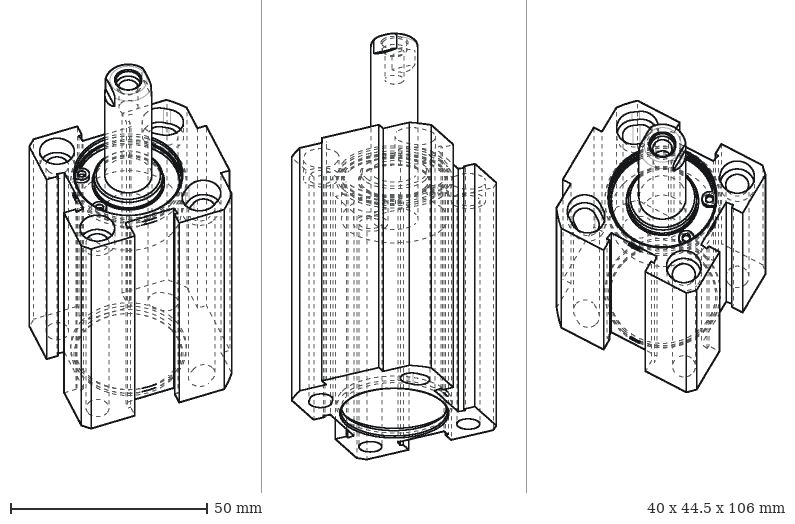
import cadquery as cq
import math

TOTAL_HEIGHT = 106.0
HOUSING_HEIGHT = 69.4
HALF_WIDTH = 40.0 / 2
DEPTH = 44.5
BACK_Y = DEPTH - HALF_WIDTH

SHOULDER_Y = 22.2
PAD_HALF_WIDTH = 8.2
CORNER_RADIUS = 27.1
FRONT_CHAMFER = 1.9

GROOVE_LIP_HALF = 6.0
GROOVE_LIP_DEPTH = 3.2
GROOVE_INNER_HALF = 6.9
GROOVE_FLOOR_HALF = 6.6
GROOVE_FLOOR_DEPTH = 5.1

HOLE_OFFSET = 14.0
HOLE_DIA = 5.8
COUNTERBORE_DIA = 8.8
COUNTERBORE_DEPTH = 5.5
SLOT_SHIFT_X = 1.1
SLOT_SHIFT_Y = 1.5

MOUTH_DIA = 27.0
MOUTH_CHAMFER_DIA = 27.8
RING_DIA = 29.5
RING_INNER_DIA = 26.1
RING_TOP_DEPTH = 1.9
RING_THICKNESS = 1.3
COVER_DEPTH = RING_TOP_DEPTH + RING_THICKNESS
LUG_CIRCLE_RADIUS = 12.0
LUG_ANGLE = 30.5
LUG_RADIUS = 1.9
LUG_HOLE_DIA = 2.0

COVER_THICKNESS = 10.6
COLLAR_DIA = 17.5
COLLAR_TOP_DEPTH = 0.2
COLLAR_CHAMFER = 0.5
FOOT_DIA = 18.4
FOOT_HEIGHT = 0.3

ROD_DIA = 12.0
ROD_FILLET = 1.3
FLAT_HALF_WIDTH = 10.0 / 2
FLAT_LENGTH = 4.7
ROD_HOLE_DIA = 4.9
ROD_HOLE_DEPTH = 10.6
ROD_MOUTH_DIA = 6.3
ROD_MOUTH_DEPTH = 2.1
ROD_MOUTH_CHAMFER = 0.3
DRILL_HALF_ANGLE = 59.0

COVER_TOP_Z = HOUSING_HEIGHT - COVER_DEPTH
COVER_BOTTOM_Z = COVER_TOP_Z - COVER_THICKNESS
GROOVE_TURNS = (0, 90, -90)


def cylinder(diameter, bottom, height):
    return cq.Workplane("XY", origin=(0, 0, bottom)).circle(diameter / 2).extrude(height)


def housing_blank():
    corner_x = math.sqrt(CORNER_RADIUS**2 - SHOULDER_Y**2)
    corner_y = math.sqrt(CORNER_RADIUS**2 - HALF_WIDTH**2)
    middle_angle = (math.atan2(corner_y, HALF_WIDTH) + math.atan2(SHOULDER_Y, corner_x)) / 2
    middle_x = CORNER_RADIUS * math.cos(middle_angle)
    middle_y = CORNER_RADIUS * math.sin(middle_angle)
    chamfer_end = HALF_WIDTH - FRONT_CHAMFER
    return (
        cq.Workplane("XY")
        .moveTo(0, -HALF_WIDTH)
        .lineTo(chamfer_end, -HALF_WIDTH)
        .lineTo(HALF_WIDTH, -chamfer_end)
        .lineTo(HALF_WIDTH, corner_y)
        .threePointArc((middle_x, middle_y), (corner_x, SHOULDER_Y))
        .lineTo(PAD_HALF_WIDTH, SHOULDER_Y)
        .lineTo(PAD_HALF_WIDTH, BACK_Y)
        .lineTo(0, BACK_Y)
        .mirrorY()
        .extrude(HOUSING_HEIGHT)
    )


def sensor_groove(turn):
    lip_y = GROOVE_LIP_DEPTH - HALF_WIDTH
    floor_y = GROOVE_FLOOR_DEPTH - HALF_WIDTH
    return (
        cq.Workplane("XY")
        .moveTo(0, -HALF_WIDTH)
        .lineTo(GROOVE_LIP_HALF, -HALF_WIDTH)
        .lineTo(GROOVE_LIP_HALF, lip_y)
        .lineTo(GROOVE_INNER_HALF, lip_y)
        .lineTo(GROOVE_FLOOR_HALF, floor_y)
        .lineTo(0, floor_y)
        .mirrorY()
        .extrude(HOUSING_HEIGHT)
        .rotate((0, 0, 0), (0, 0, 1), turn)
    )


def slot(side, diameter, bottom):
    """Rear mounting slot: its two round ends sit at the hole centre and at the shifted centre."""
    length = math.hypot(SLOT_SHIFT_X, SLOT_SHIFT_Y) + diameter
    angle = math.degrees(math.atan2(SLOT_SHIFT_Y, -side * SLOT_SHIFT_X))
    centre_x = side * (HOLE_OFFSET - SLOT_SHIFT_X / 2)
    centre_y = HOLE_OFFSET + SLOT_SHIFT_Y / 2
    return (
        cq.Workplane("XY", origin=(centre_x, centre_y, bottom))
        .slot2D(length, diameter, angle)
        .extrude(HOUSING_HEIGHT - bottom)
    )


def front_hole(side, diameter, bottom):
    hole = cylinder(diameter, bottom, HOUSING_HEIGHT - bottom)
    return hole.translate((side * HOLE_OFFSET, -HOLE_OFFSET, 0))


def bore_mouth():
    """Recess at the housing top, with its chamfered rim and the groove for the retaining ring."""
    chamfer = (MOUTH_CHAMFER_DIA - MOUTH_DIA) / 2
    recess = cylinder(MOUTH_DIA, COVER_TOP_Z, COVER_DEPTH)
    rim = (
        cq.Workplane("XY", origin=(0, 0, HOUSING_HEIGHT - chamfer))
        .circle(MOUTH_DIA / 2)
        .workplane(offset=chamfer)
        .circle(MOUTH_CHAMFER_DIA / 2)
        .loft()
    )
    return recess.union(rim).union(cylinder(RING_DIA, COVER_TOP_Z, RING_THICKNESS))


def make_housing():
    body = housing_blank()
    for turn in GROOVE_TURNS:
        body = body.cut(sensor_groove(turn))
    counterbore_z = HOUSING_HEIGHT - COUNTERBORE_DEPTH
    for side in (-1, 1):
        for diameter, bottom in ((HOLE_DIA, 0), (COUNTERBORE_DIA, counterbore_z)):
            body = body.cut(slot(side, diameter, bottom))
            body = body.cut(front_hole(side, diameter, bottom))
    mouth = bore_mouth()
    body = body.cut(mouth)
    body = body.cut(mouth.mirror("XY", (0, 0, HOUSING_HEIGHT / 2)))
    return body.cut(cylinder(MOUTH_DIA, COVER_BOTTOM_Z, COVER_THICKNESS))


def make_cover():
    collar_top = HOUSING_HEIGHT - COLLAR_TOP_DEPTH
    collar = cylinder(COLLAR_DIA, COVER_TOP_Z, collar_top - COVER_TOP_Z).faces(">Z").chamfer(COLLAR_CHAMFER)
    body = cylinder(MOUTH_DIA, COVER_BOTTOM_Z, COVER_THICKNESS).union(collar)
    body = body.union(cylinder(FOOT_DIA, COVER_TOP_Z, FOOT_HEIGHT))
    return body.cut(cylinder(ROD_DIA, COVER_BOTTOM_Z, collar_top - COVER_BOTTOM_Z))


def make_ring():
    """Open ring whose two ends carry lugs with plier holes, each lug reaching out to the ring's rim."""
    outer_r = RING_DIA / 2
    inner_r = RING_INNER_DIA / 2
    base = cq.Workplane("XY", origin=(0, 0, COVER_TOP_Z))
    gap_x = math.tan(math.radians(LUG_ANGLE)) * RING_DIA
    gap = base.polyline([(0, 0), (gap_x, -RING_DIA), (-gap_x, -RING_DIA)]).close().extrude(RING_THICKNESS)
    body = base.circle(outer_r).circle(inner_r).extrude(RING_THICKNESS).cut(gap)
    rim_limit = base.circle(outer_r).extrude(RING_THICKNESS)
    lug = (
        base.moveTo(-LUG_RADIUS, -LUG_CIRCLE_RADIUS)
        .threePointArc((0, LUG_RADIUS - LUG_CIRCLE_RADIUS), (LUG_RADIUS, -LUG_CIRCLE_RADIUS))
        .lineTo(LUG_RADIUS, -outer_r)
        .lineTo(-LUG_RADIUS, -outer_r)
        .close()
        .extrude(RING_THICKNESS)
        .intersect(rim_limit)
    )
    lug_hole = base.center(0, -LUG_CIRCLE_RADIUS).circle(LUG_HOLE_DIA / 2).extrude(RING_THICKNESS)
    for angle in (-LUG_ANGLE, LUG_ANGLE):
        body = body.union(lug.rotate((0, 0, 0), (0, 0, 1), angle))
        body = body.cut(lug_hole.rotate((0, 0, 0), (0, 0, 1), angle))
    return body


def make_rod():
    body = cylinder(ROD_DIA, COVER_BOTTOM_Z, TOTAL_HEIGHT - COVER_BOTTOM_Z).faces(">Z").edges().fillet(ROD_FILLET)
    flat_z = TOTAL_HEIGHT - FLAT_LENGTH
    outer_y = ROD_DIA / 2
    flat = (
        cq.Workplane("YZ", origin=(-ROD_DIA / 2, 0, 0))
        .moveTo(FLAT_HALF_WIDTH, TOTAL_HEIGHT)
        .lineTo(FLAT_HALF_WIDTH, flat_z)
        .lineTo(outer_y, flat_z - (outer_y - FLAT_HALF_WIDTH))
        .lineTo(outer_y, TOTAL_HEIGHT)
        .close()
        .extrude(ROD_DIA)
    )
    body = body.cut(flat).cut(flat.mirror("XZ"))
    hole_r = ROD_HOLE_DIA / 2
    mouth_r = ROD_MOUTH_DIA / 2
    tip_length = hole_r / math.tan(math.radians(DRILL_HALF_ANGLE))
    hole_z = TOTAL_HEIGHT - ROD_HOLE_DEPTH
    mouth_z = TOTAL_HEIGHT - ROD_MOUTH_DEPTH
    hole = (
        cq.Workplane("XZ")
        .moveTo(0, TOTAL_HEIGHT)
        .lineTo(mouth_r + ROD_MOUTH_CHAMFER, TOTAL_HEIGHT)
        .lineTo(mouth_r, TOTAL_HEIGHT - ROD_MOUTH_CHAMFER)
        .lineTo(mouth_r, mouth_z)
        .lineTo(hole_r, mouth_z - (mouth_r - hole_r))
        .lineTo(hole_r, hole_z)
        .lineTo(0, hole_z - tip_length)
        .close()
        .revolve(360, (0, 0, 0), (0, 1, 0))
    )
    return body.cut(hole)


housing = make_housing()
cover = make_cover()
ring = make_ring()
rod = make_rod()

result = cq.Compound.makeCompound([housing.val(), cover.val(), ring.val(), rod.val()])